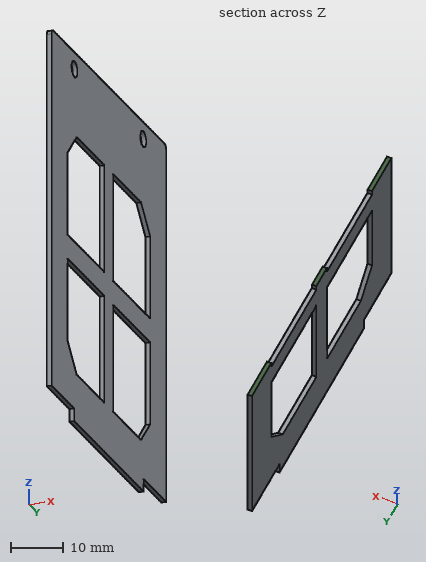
import cadquery as cq

thickness = 1.0
plate_width = 64.0
total_height = 76.1
top_corner_radius = 1.0

tab_width = 38.8
tab_height = 2.6

hole_diameter = 3.2
hole_spacing = 38.35
hole_drop = 3.5

opening_width = 46.05
opening_height = 48.9
opening_drop = 17.05
opening_chamfer = 5.1
rib_width = 4.95

plate_height = total_height - tab_height
opening_center_z = total_height - opening_drop - opening_height / 2


def box(width, height, center_z):
    """Full-thickness block centred on Y = 0."""
    return cq.Workplane("XY").box(thickness, width, height).translate((0, 0, center_z))


def make_plate():
    panel = box(plate_width, plate_height, tab_height + plate_height / 2)
    panel = panel.edges("|X and >Z").fillet(top_corner_radius)
    tab = box(tab_width, 2 * tab_height, tab_height)
    return panel.union(tab)


def make_windows():
    opening = box(opening_width, opening_height, opening_center_z)
    opening = opening.edges("|X").chamfer(opening_chamfer)
    upright_rib = box(rib_width, opening_height, opening_center_z)
    cross_rib = box(opening_width, rib_width, opening_center_z)
    return opening.cut(upright_rib).cut(cross_rib)


def make_holes():
    hole_z = total_height - hole_drop
    return (
        cq.Workplane("YZ")
        .pushPoints([(side * hole_spacing / 2, hole_z) for side in (-1, 1)])
        .circle(hole_diameter / 2)
        .extrude(thickness, both=True)
    )


result = make_plate().cut(make_windows()).cut(make_holes())